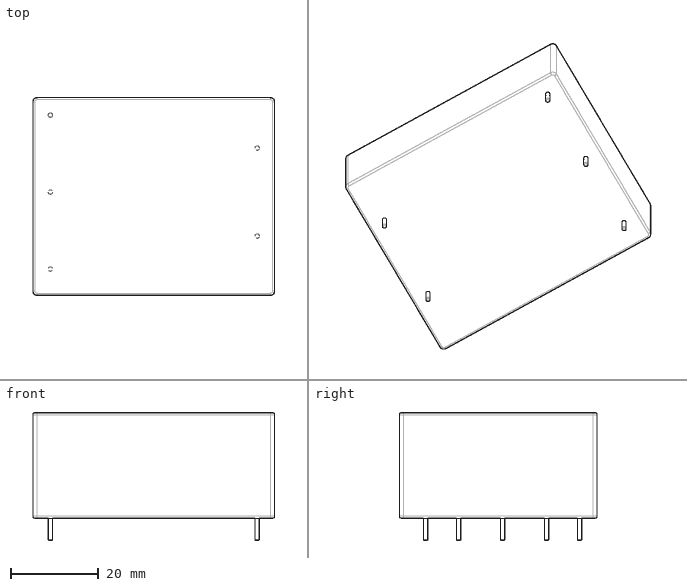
import cadquery as cq

case_length = 55.0
case_width = 45.0
case_height = 24.0
corner_radius = 1.0
rim_radius = 0.5

pin_diameter = 1.0
pin_length = 5.0
pin_tip_radius = 0.2
row_spacing = 47.0
pin_center_y = 1.0
outer_pin_offset = 17.5
inner_pin_offset = 10.0


def make_case():
    """Box resting on Z = 0 with all of its edges rounded."""
    case = cq.Workplane("XY").box(case_length, case_width, case_height, centered=(True, True, False))
    case = case.edges("|Z").fillet(corner_radius)
    return case.faces("<Z or >Z").edges().fillet(rim_radius)


def make_pin_row(row_x, offsets):
    """Round-tipped pins reaching down from Z = 0, at the given Y offsets from the row centre."""
    centers = [(row_x, pin_center_y + offset) for offset in offsets]
    pins = cq.Workplane("XY").pushPoints(centers).circle(pin_diameter / 2).extrude(-pin_length)
    return pins.faces("<Z").edges().fillet(pin_tip_radius)


three_pin_row = make_pin_row(-row_spacing / 2, (-outer_pin_offset, 0, outer_pin_offset))
two_pin_row = make_pin_row(row_spacing / 2, (-inner_pin_offset, inner_pin_offset))

result = make_case().union(three_pin_row).union(two_pin_row)